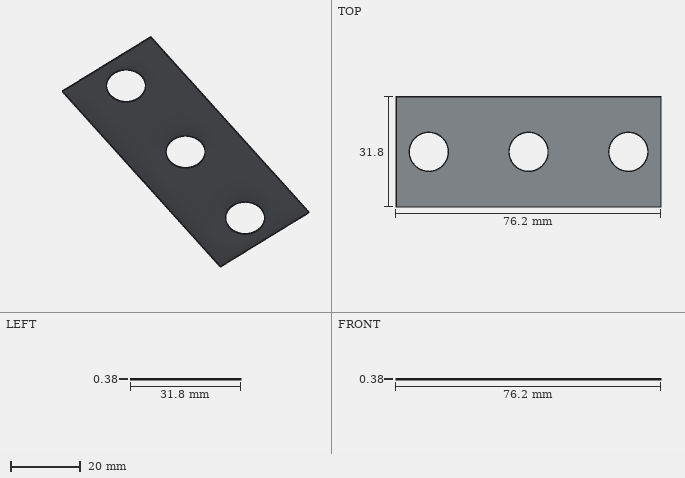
import cadquery as cq

length = 76.2
width = 31.75
thickness = 0.38

hole_diameter = 11.18
hole_count = 3
hole_pitch = 28.7


def make_plate():
    """Plain rectangular sheet centred on the origin."""
    return cq.Workplane("XY").box(length, width, thickness)


def drill_hole_row(plate):
    """Row of through holes along X, centred on the plate."""
    return (
        plate.faces(">Z")
        .workplane()
        .rarray(hole_pitch, width, hole_count, 1)
        .hole(hole_diameter)
    )


result = drill_hole_row(make_plate())